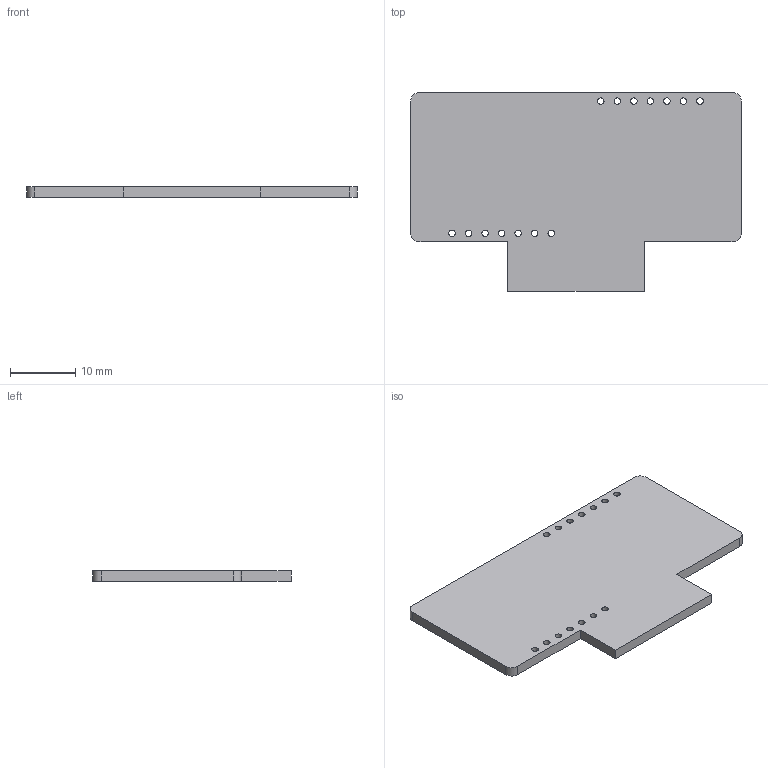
import cadquery as cq

pitch = 2.54
board_length = 20 * pitch
board_width = 9 * pitch
thickness = 1.6
corner_radius = pitch / 2

tab_width = 21.0
tab_depth = 3 * pitch

pin_count = 7
pin_hole_diameter = 1.0
row_edge_offset = pitch / 2
row_end_offset = 2.5 * pitch
row_length = (pin_count - 1) * pitch


def make_board():
    """Rectangular board with rounded corners, centred on the origin, base at Z = 0."""
    board = cq.Workplane("XY").box(board_length, board_width, thickness, centered=(True, True, False))
    return board.edges("|Z").fillet(corner_radius)


def make_tab():
    """Square-cornered edge tab, overlapping the board up to its centre line."""
    tab_reach = board_width / 2 + tab_depth
    tab = cq.Workplane("XY").box(tab_width, tab_reach, thickness, centered=(True, False, False))
    return tab.translate((0, -tab_reach, 0))


def make_pin_holes(first_x, row_y):
    """Cutters for one row of through holes, running in +X from first_x."""
    centres = [(first_x + i * pitch, row_y) for i in range(pin_count)]
    return cq.Workplane("XY").pushPoints(centres).circle(pin_hole_diameter / 2).extrude(thickness)


row_y = board_width / 2 - row_edge_offset
row_end_x = board_length / 2 - row_end_offset
front_row = make_pin_holes(-row_end_x, -row_y)
back_row = make_pin_holes(row_end_x - row_length, row_y)

result = make_board().union(make_tab()).cut(front_row).cut(back_row)